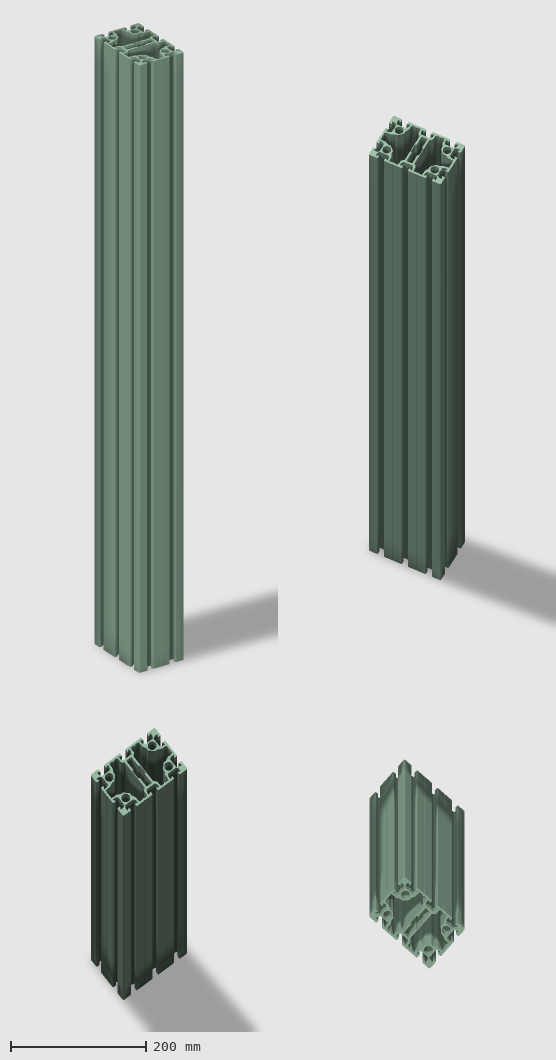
import cadquery as cq

MODULE = 40.0
WIDTH = 3 * MODULE
DEPTH = 2 * MODULE
LENGTH = 1000.0
CORNER_RADIUS = 2.0

MOUTH_HALF = 5.0
MOUTH_ROUND = 1.3
LIP_TIP_DEPTH = 5.4
LIP_ROOT_DEPTH = 3.0
POCKET_HALF = 9.8
POCKET_SIDE_DEPTH = 8.0
FLOOR_HALF = 7.5
POCKET_TAPER_DEPTH = 3.7
FLOOR_DEPTH = POCKET_SIDE_DEPTH + POCKET_TAPER_DEPTH
FLOOR_GROOVE_HALF = 0.5
FLOOR_GROOVE_DEPTH = 0.5

OUTER_WALL = 3.1
HAUNCH_HALF = 13.0
SLOT_SIDE_WALL = 2.5
SLOT_BOX_HALF = POCKET_HALF + SLOT_SIDE_WALL
SLOT_BOX_TOP_DEPTH = 7.0
SLOT_BOX_BOTTOM_DEPTH = 12.0

BORE_RADIUS = 6.5
CORE_WALL = 2.7
CORE_HALF = BORE_RADIUS + CORE_WALL
CORE_FLAT_HALF = 2.0

WEB_OUTER = 8.0
WEB_INNER = 4.8
WEB_THIN_INNER = 7.0
THIN_WEB_HALF_HEIGHT = 7.5
CHANNEL_ROOF_DEPTH = 15.0
WEB_TOP_DEPTH = 16.0

GROOVE_HALF = 0.5
GROOVE_DEPTH = 0.5
RIB_HALF = 1.2
RIB_DEPTH = 5.0

HALF_X = WIDTH / 2
HALF_Y = DEPTH / 2
CORE_X = MODULE
CORE_Y = MODULE / 2
GROOVE_X = MODULE / 2

SLOT_HALF_PROFILE = [
    (MOUTH_HALF, 0),
    (MOUTH_HALF, LIP_TIP_DEPTH),
    (POCKET_HALF, LIP_ROOT_DEPTH),
    (POCKET_HALF, POCKET_SIDE_DEPTH),
    (FLOOR_HALF, FLOOR_DEPTH),
    (FLOOR_GROOVE_HALF, FLOOR_DEPTH),
    (0, FLOOR_DEPTH + FLOOR_GROOVE_DEPTH),
]


def prism(points):
    """Extrude a closed outline over the full length."""
    return cq.Workplane("XY").polyline(points).close().extrude(LENGTH)


def mirrored_left_right(half):
    """Close a right-hand half outline; points on the centre line are kept once."""
    return half + [(-x, y) for x, y in reversed(half) if x != 0]


def mirrored_top_bottom(half):
    """Close an upper half outline."""
    return half + [(x, -y) for x, y in reversed(half)]


def slot_cutter(face_distance):
    """T-slot with rounded mouth edges, cut into the +Y side at the given distance."""
    half = [(across, face_distance - depth) for across, depth in SLOT_HALF_PROFILE]
    slot = prism(mirrored_left_right(half))
    flare_half = MOUTH_HALF + MOUTH_ROUND
    flare_bottom = face_distance - MOUTH_ROUND
    flare = (
        cq.Workplane("XY")
        .moveTo(-flare_half, face_distance)
        .radiusArc((-MOUTH_HALF, flare_bottom), MOUTH_ROUND)
        .lineTo(MOUTH_HALF, flare_bottom)
        .radiusArc((flare_half, face_distance), MOUTH_ROUND)
        .close()
        .extrude(LENGTH)
    )
    return slot.union(flare)


def groove_cutter(face_distance):
    """V groove cut into the +Y side at the given distance."""
    half = [(GROOVE_HALF, face_distance), (0, face_distance - GROOVE_DEPTH)]
    return prism(mirrored_left_right(half))


def on_face(cutter, angle, shift):
    """Slide a +Y side cutter along its face, then turn it onto another side."""
    return cutter.translate((shift, 0, 0)).rotate((0, 0, 0), (0, 0, 1), angle)


def side_chamber():
    """Large hollow on the +X side, between web, outer walls and corner cores."""
    roof_y = HALF_Y - OUTER_WALL
    box_top_y = HALF_Y - SLOT_BOX_TOP_DEPTH
    box_bottom_y = HALF_Y - SLOT_BOX_BOTTOM_DEPTH
    side_box_y = CORE_Y - SLOT_BOX_HALF
    upper_half = [
        (WEB_OUTER, HALF_Y - WEB_TOP_DEPTH),
        (SLOT_BOX_HALF, box_bottom_y),
        (SLOT_BOX_HALF, box_top_y),
        (HAUNCH_HALF, roof_y),
        (GROOVE_X - RIB_HALF, roof_y),
        (GROOVE_X, HALF_Y - RIB_DEPTH),
        (GROOVE_X + RIB_HALF, roof_y),
        (CORE_X - HAUNCH_HALF, roof_y),
        (CORE_X - SLOT_BOX_HALF, box_top_y),
        (CORE_X - SLOT_BOX_HALF, box_bottom_y),
        (CORE_X - CORE_HALF, CORE_Y + CORE_FLAT_HALF),
        (CORE_X - CORE_HALF, CORE_Y - CORE_FLAT_HALF),
        (CORE_X - CORE_FLAT_HALF, CORE_Y - CORE_HALF),
        (CORE_X + CORE_FLAT_HALF, CORE_Y - CORE_HALF),
        (HALF_X - SLOT_BOX_BOTTOM_DEPTH, side_box_y),
        (HALF_X - SLOT_BOX_TOP_DEPTH, side_box_y),
        (HALF_X - OUTER_WALL, CORE_Y - HAUNCH_HALF),
    ]
    return prism(mirrored_top_bottom(upper_half))


def central_channel():
    """Hollow between the two webs, wider where the webs are thin."""
    roof_y = HALF_Y - CHANNEL_ROOF_DEPTH
    upper_half = [
        (WEB_THIN_INNER, THIN_WEB_HALF_HEIGHT),
        (WEB_INNER, THIN_WEB_HALF_HEIGHT),
        (WEB_INNER, roof_y),
        (-WEB_INNER, roof_y),
        (-WEB_INNER, THIN_WEB_HALF_HEIGHT),
        (-WEB_THIN_INNER, THIN_WEB_HALF_HEIGHT),
    ]
    return prism(mirrored_top_bottom(upper_half))


body = cq.Workplane("XY").rect(WIDTH, DEPTH).extrude(LENGTH)
body = body.edges("|Z").fillet(CORNER_RADIUS)

chamber = side_chamber()
body = body.cut(chamber).cut(chamber.mirror("YZ")).cut(central_channel())

cores = [(x, y) for x in (-CORE_X, CORE_X) for y in (-CORE_Y, CORE_Y)]
bores = cq.Workplane("XY").pushPoints(cores).circle(BORE_RADIUS).extrude(LENGTH)
body = body.cut(bores)

for angle in (0, 180):
    for slot_x in (-CORE_X, 0, CORE_X):
        body = body.cut(on_face(slot_cutter(HALF_Y), angle, slot_x))
    for groove_x in (-GROOVE_X, GROOVE_X):
        body = body.cut(on_face(groove_cutter(HALF_Y), angle, groove_x))

for angle in (90, 270):
    for slot_y in (-CORE_Y, CORE_Y):
        body = body.cut(on_face(slot_cutter(HALF_X), angle, slot_y))
    body = body.cut(on_face(groove_cutter(HALF_X), angle, 0))

result = body.translate((0, 0, -LENGTH / 2))